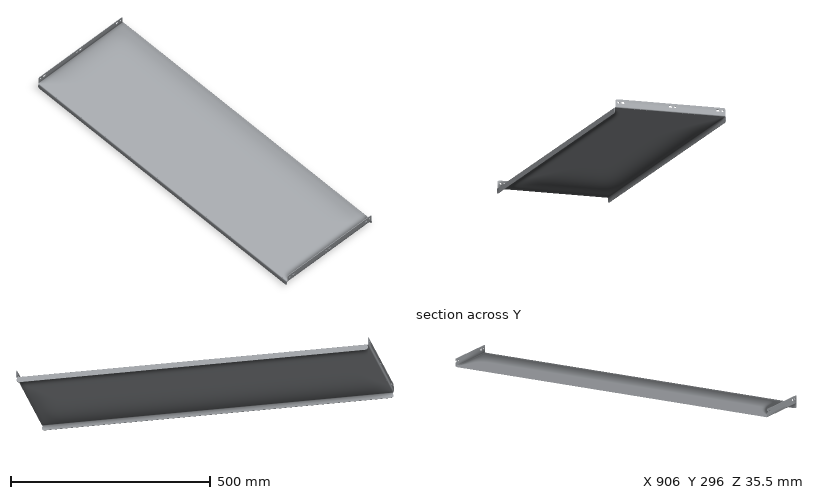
import cadquery as cq
import math

length = 906.0
width = 296.0
height = 35.5

sheet = 1.2
bend_inner = 1.2
bend_outer = bend_inner + sheet

side_drop = 15.0
floor_top = 0.0
floor_bottom = floor_top - sheet
side_bottom = floor_top - side_drop
end_top = side_bottom + height

end_width = 292.0
side_length = 904.0
end_corner_radius = 5.0
side_corner_radius = 6.5
bend_relief = 1.0
relief_depth = 6.0

hole_diameter = 5.0
slot_length = 8.5
hole_drop = 8.0
hole_pitch = 12.3
outer_slot_y = 126.0
hole_z = end_top - hole_drop
slot_positions = (-outer_slot_y, 0.0, outer_slot_y)
hole_positions = (-outer_slot_y - hole_pitch, -hole_pitch, outer_slot_y + hole_pitch)


def channel(plane, span, depth, outer_face, tip):
    """Channel folded from one sheet, with rounded bends, running from outer_face to tip."""
    direction = 1 if tip > outer_face else -1
    half = span / 2
    inner_half = half - sheet
    inner_face = outer_face + direction * sheet
    bend_level = outer_face + direction * bend_outer
    diagonal = math.sqrt(0.5)
    bend_center = half - bend_outer

    def arc_middle(side, radius):
        return (side * (bend_center + radius * diagonal), bend_level - direction * radius * diagonal)

    return (
        cq.Workplane(plane)
        .moveTo(-half, tip)
        .lineTo(-half, bend_level)
        .threePointArc(arc_middle(-1, bend_outer), (-bend_center, outer_face))
        .lineTo(bend_center, outer_face)
        .threePointArc(arc_middle(1, bend_outer), (half, bend_level))
        .lineTo(half, tip)
        .lineTo(inner_half, tip)
        .lineTo(inner_half, bend_level)
        .threePointArc(arc_middle(1, bend_inner), (bend_center, inner_face))
        .lineTo(-bend_center, inner_face)
        .threePointArc(arc_middle(-1, bend_inner), (-inner_half, bend_level))
        .lineTo(-inner_half, tip)
        .close()
        .extrude(depth / 2, both=True)
    )


def floor_with_ends():
    """Floor with both ends folded up; their upper corners are rounded."""
    body = channel("XZ", length, end_width, floor_bottom, end_top)
    return body.edges("|X and >Z").fillet(end_corner_radius)


def floor_with_sides():
    """Floor with both sides folded down; lower corners rounded, bends relieved at each end."""
    body = channel("YZ", width, side_length, floor_top, side_bottom)
    body = body.edges("|Y and <Z").fillet(side_corner_radius)
    relief = (
        cq.Workplane("XY")
        .workplane(offset=floor_top - relief_depth)
        .pushPoints([(-side_length / 2, 0), (side_length / 2, 0)])
        .rect(2 * bend_relief, width)
        .extrude(relief_depth)
    )
    return body.cut(relief)


def end_holes():
    """Cutter for the round holes and slots, running along X through both ends."""
    face = cq.Workplane("YZ", origin=(0, 0, hole_z))
    holes = face.pushPoints([(y, 0) for y in hole_positions]).circle(hole_diameter / 2)
    holes = holes.extrude(length, both=True)
    slots = face.pushPoints([(y, 0) for y in slot_positions]).slot2D(slot_length, hole_diameter)
    slots = slots.extrude(length, both=True)
    return holes.union(slots)


result = floor_with_ends().union(floor_with_sides()).cut(end_holes())